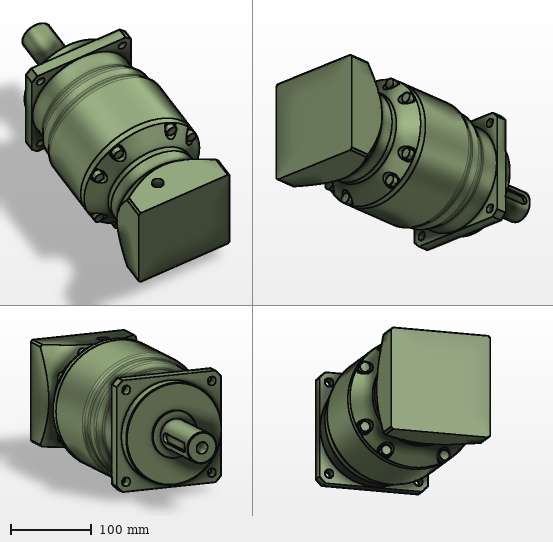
import cadquery as cq
import math


total_length = 365.5

shaft_radius = 20
shaft_chamfer = 1
keyway_start = 7
keyway_length = 65
keyway_width = 12
keyway_depth = 5
centre_hole_radius = 7.5
centre_hole_depth = 36
drill_tip_half_angle = math.radians(59)

collar_radius = 30
collar_start = 79.5
pilot_radius = 65
pilot_start = 82.5
pilot_length = 15
pilot_chamfer = 1
flange_start = pilot_start + pilot_length
flange_thickness = 15
flange_end = flange_start + flange_thickness
flange_width = 142
flange_corner_radius = 95
mount_circle_radius = 82.5
mount_hole_diameter = 11

front_barrel_radius = 70
middle_barrel_radius = 77.5
main_barrel_radius = 82.5
first_taper_start = 139
second_taper_start = 165.7
taper_slope = math.tan(math.radians(34))
first_taper_end = first_taper_start + (middle_barrel_radius - front_barrel_radius) / taper_slope
second_taper_end = second_taper_start + (main_barrel_radius - middle_barrel_radius) / taper_slope
taper_blend_radius = 7.5
gearhead_end = 252.5

cone_start = 261
cone_end = 281
neck_radius = 60
cover_end = 288.5
screw_angles = (30, 60)
screw_circle_radius = 76
screw_head_radius = 6.5
screw_head_height = 8
screw_pocket_radius = 9
screw_flange_thickness = 9.5
screw_seat = gearhead_end + screw_flange_thickness

adapter_width = 130
adapter_turned_radius = 90
adapter_flare_start = 306.5
adapter_flare_end = adapter_flare_start + adapter_turned_radius - neck_radius
access_hole_x = 333.5
access_hole_y = -19.3
access_hole_radius = 7.3
access_hole_depth = 35
access_step_y = -24.5
access_step_depth = 5


def turned(outline):
    """Revolve (x, radius) corners, closed along the axis, about X."""
    return cq.Workplane("XY").polyline(outline).close().revolve(360, (0, 0, 0), (1, 0, 0))


def cylinder_x(start, length, radius):
    """Round bar along X."""
    return cq.Workplane("YZ", origin=(start, 0, 0)).circle(radius).extrude(length)


def cut_keyway(body):
    """Round-ended keyway, open on the +Y side of the shaft."""
    slot = (
        cq.Workplane("XZ", origin=(keyway_start + keyway_length / 2, shaft_radius, 0))
        .slot2D(keyway_length, keyway_width)
        .extrude(keyway_depth)
    )
    return body.cut(slot)


def cut_centre_hole(body):
    """Drilled hole with a pointed bottom in the shaft tip."""
    tip_length = centre_hole_radius / math.tan(drill_tip_half_angle)
    drill = turned([
        (0, 0),
        (0, centre_hole_radius),
        (centre_hole_depth, centre_hole_radius),
        (centre_hole_depth + tip_length, 0),
    ])
    return body.cut(drill)


def make_flange():
    """Square flange with turned corners and four mounting holes."""
    hole_pitch = mount_circle_radius * math.sqrt(2)
    plate = (
        cq.Workplane("YZ", origin=(flange_start, 0, 0))
        .rect(flange_width, flange_width)
        .extrude(flange_thickness)
    )
    plate = plate.intersect(cylinder_x(flange_start, flange_thickness, flange_corner_radius))
    holes = (
        cq.Workplane("YZ", origin=(flange_start, 0, 0))
        .rect(hole_pitch, hole_pitch, forConstruction=True)
        .vertices()
        .circle(mount_hole_diameter / 2)
        .extrude(flange_thickness)
    )
    return plate.cut(holes)


def make_barrel():
    """Turned barrel behind the flange, with blended tapers."""
    barrel = turned([
        (flange_end, 0),
        (flange_end, front_barrel_radius),
        (first_taper_start, front_barrel_radius),
        (first_taper_end, middle_barrel_radius),
        (second_taper_start, middle_barrel_radius),
        (second_taper_end, main_barrel_radius),
        (gearhead_end, main_barrel_radius),
        (gearhead_end, 0),
    ])
    for corner_x in (first_taper_start, first_taper_end, second_taper_start, second_taper_end):
        corner = cq.selectors.BoxSelector((corner_x - 1, -1, -1), (corner_x + 1, 1, 1))
        barrel = barrel.edges(corner).fillet(taper_blend_radius)
    return barrel


def make_gearhead():
    shaft = cylinder_x(0, collar_start, shaft_radius).faces("<X").chamfer(shaft_chamfer)
    shaft = cut_centre_hole(cut_keyway(shaft))
    collar = cylinder_x(collar_start, pilot_start - collar_start, collar_radius)
    pilot = cylinder_x(pilot_start, pilot_length, pilot_radius).faces("<X").chamfer(pilot_chamfer)
    return shaft.union(collar).union(pilot).union(make_flange()).union(make_barrel())


def make_cover():
    """Conical cover with screw heads standing in pockets cut into the cone."""
    cover = turned([
        (gearhead_end, 0),
        (gearhead_end, main_barrel_radius),
        (cone_start, main_barrel_radius),
        (cone_end, neck_radius),
        (cover_end, neck_radius),
        (cover_end, 0),
    ])
    pocket_length = cone_end - screw_seat
    for quarter in range(4):
        for angle in screw_angles:
            direction = math.radians(90 * quarter + angle)
            offset_y = screw_circle_radius * math.cos(direction)
            offset_z = screw_circle_radius * math.sin(direction)
            position = (0, offset_y, offset_z)
            pocket = cylinder_x(screw_seat, pocket_length, screw_pocket_radius).translate(position)
            head = cylinder_x(screw_seat, screw_head_height, screw_head_radius).translate(position)
            cover = cover.cut(pocket).union(head)
    return cover


def make_adapter():
    """Square adapter flaring out of the round neck, with a blind access hole in its top."""
    adapter = turned([
        (cover_end, 0),
        (cover_end, neck_radius),
        (adapter_flare_start, neck_radius),
        (adapter_flare_end, adapter_turned_radius),
        (total_length, adapter_turned_radius),
        (total_length, 0),
    ])
    square = (
        cq.Workplane("YZ", origin=(cover_end, 0, 0))
        .rect(adapter_width, adapter_width)
        .extrude(total_length - cover_end)
    )
    top = cq.Workplane("XY", origin=(access_hole_x, access_hole_y, adapter_width / 2))
    hole = top.circle(access_hole_radius).extrude(-access_hole_depth)
    deep_hole = top.circle(access_hole_radius).extrude(-access_hole_depth - access_step_depth)
    step_side = (
        cq.Workplane("XY", origin=(access_hole_x, access_step_y, 0))
        .rect(2 * access_hole_radius, 2 * access_hole_radius)
        .extrude(adapter_width / 2)
        .translate((0, -access_hole_radius, 0))
    )
    return adapter.intersect(square).cut(hole).cut(deep_hole.intersect(step_side))


gearhead = make_gearhead()
cover = make_cover()
adapter = make_adapter()

result = cq.Compound.makeCompound([gearhead.val(), cover.val(), adapter.val()])